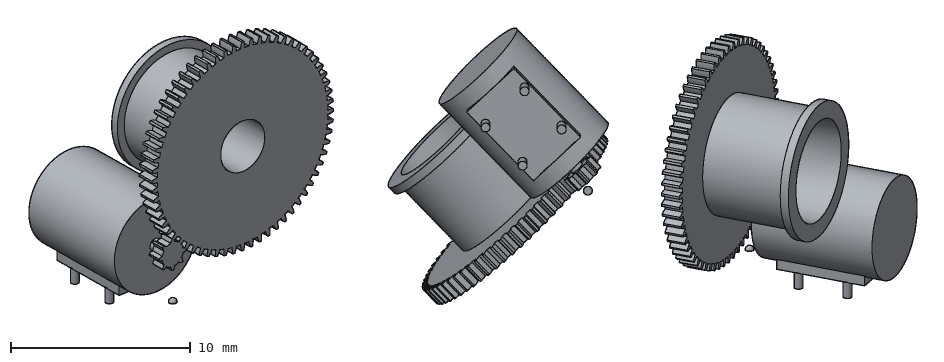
import cadquery as cq
import math


motor_diameter = 6.0
motor_radius = motor_diameter / 2
motor_length = 7.4
shaft_diameter = 0.8

block_start = 1.0
block_length = 5.4
block_width = 3.61
pin_diameter = 0.5
pin_length = 1.0
pin_spacing = 3.0
first_pin_x = 2.2

axis_offset = 5.08
gear_start = 7.8
gear_thickness = 1.1
gear_end = gear_start + gear_thickness
gear_teeth = 64
gear_tip_radius = 6.6
gear_root_radius = 6.2
gear_tooth_tip_width = 0.14
gear_tooth_middle_width = 0.27
gear_tooth_root_width = 0.31

drum_start = 2.3
drum_diameter = 7.0
flange_diameter = 8.0
flange_thickness = 0.5
bore_diameter = 3.2
recess_diameter = motor_diameter
recess_depth = 2.5

pinion_start = 8.05
pinion_thickness = gear_end - pinion_start
pinion_teeth = 8
pinion_tip_radius = 1.0
pinion_root_radius = 0.77
pinion_tooth_tip_width = 0.11
pinion_tooth_middle_width = 0.22
pinion_tooth_root_width = 0.3

dome_radius = 0.25


def cylinder_along_x(start, length, diameter, y=0, z=0):
    """Solid cylinder on an axis parallel to X."""
    return cq.Workplane("YZ", origin=(start, y, z)).circle(diameter / 2).extrude(length)


def toothed_wheel(
    start, thickness, teeth, tip_radius, root_radius, tip_width, middle_width, root_width, y=0, z=0
):
    """Spur wheel with bulging tooth flanks; one tooth points along +Y."""

    def point(radius, width, tooth_angle):
        """Point at this radius, half the signed width to the side of the tooth's centre line."""
        angle = tooth_angle + math.asin(width / 2 / radius)
        return radius * math.cos(angle), radius * math.sin(angle)

    pitch_angle = 2 * math.pi / teeth
    middle_radius = (tip_radius + root_radius) / 2
    outline = cq.Workplane("YZ", origin=(start, y, z)).moveTo(*point(root_radius, -root_width, 0))
    for tooth in range(teeth):
        tooth_angle = tooth * pitch_angle
        gap_angle = tooth_angle + pitch_angle / 2
        outline = (
            outline.threePointArc(
                point(middle_radius, -middle_width, tooth_angle),
                point(tip_radius, -tip_width, tooth_angle),
            )
            .threePointArc(point(tip_radius, 0, tooth_angle), point(tip_radius, tip_width, tooth_angle))
            .threePointArc(
                point(middle_radius, middle_width, tooth_angle),
                point(root_radius, root_width, tooth_angle),
            )
            .threePointArc(
                point(root_radius, 0, gap_angle),
                point(root_radius, -root_width, tooth_angle + pitch_angle),
            )
        )
    return outline.close().extrude(thickness)


def make_motor():
    """Motor can with its shaft, terminal block and four pins."""
    can = cylinder_along_x(0, motor_length, motor_diameter)
    shaft = cylinder_along_x(motor_length, gear_end - motor_length, shaft_diameter)
    block = cq.Workplane("XY").box(block_length, block_width, motor_radius, centered=(False, True, False))
    block = block.translate((block_start, 0, -motor_radius))
    motor = can.union(shaft).union(block)
    for pin_x in (first_pin_x, first_pin_x + pin_spacing):
        for pin_y in (-pin_spacing / 2, pin_spacing / 2):
            pin_base = cq.Workplane("XY", origin=(pin_x, pin_y, -motor_radius))
            motor = motor.union(pin_base.circle(pin_diameter / 2).extrude(-pin_length))
    return motor


def make_pinion():
    """Small wheel on the motor shaft."""
    return toothed_wheel(
        pinion_start,
        pinion_thickness,
        pinion_teeth,
        pinion_tip_radius,
        pinion_root_radius,
        pinion_tooth_tip_width,
        pinion_tooth_middle_width,
        pinion_tooth_root_width,
    )


def make_gear_drum():
    """Large gear with a flanged drum, recessed at the flange and bored through."""
    axis = {"y": axis_offset, "z": axis_offset}
    gear = toothed_wheel(
        gear_start,
        gear_thickness,
        gear_teeth,
        gear_tip_radius,
        gear_root_radius,
        gear_tooth_tip_width,
        gear_tooth_middle_width,
        gear_tooth_root_width,
        **axis,
    )
    drum = cylinder_along_x(drum_start, gear_start - drum_start, drum_diameter, **axis)
    flange = cylinder_along_x(drum_start, flange_thickness, flange_diameter, **axis)
    bore = cylinder_along_x(drum_start, gear_end - drum_start, bore_diameter, **axis)
    recess = cylinder_along_x(drum_start, recess_depth, recess_diameter, **axis)
    return gear.union(drum).union(flange).cut(bore).cut(recess)


def make_geared_motor():
    """Motor, pinion and gear drum in one piece, joined where the teeth mesh."""
    return make_motor().union(make_pinion()).union(make_gear_drum())


def make_dome():
    """Half ball with its flat face down."""
    dome = cq.Workplane("XY").sphere(dome_radius, angle1=0)
    return dome.translate((gear_end, 0, -motor_radius))


geared_motor = make_geared_motor()
dome = make_dome()

result = cq.Compound.makeCompound([geared_motor.solids().val(), dome.val()])